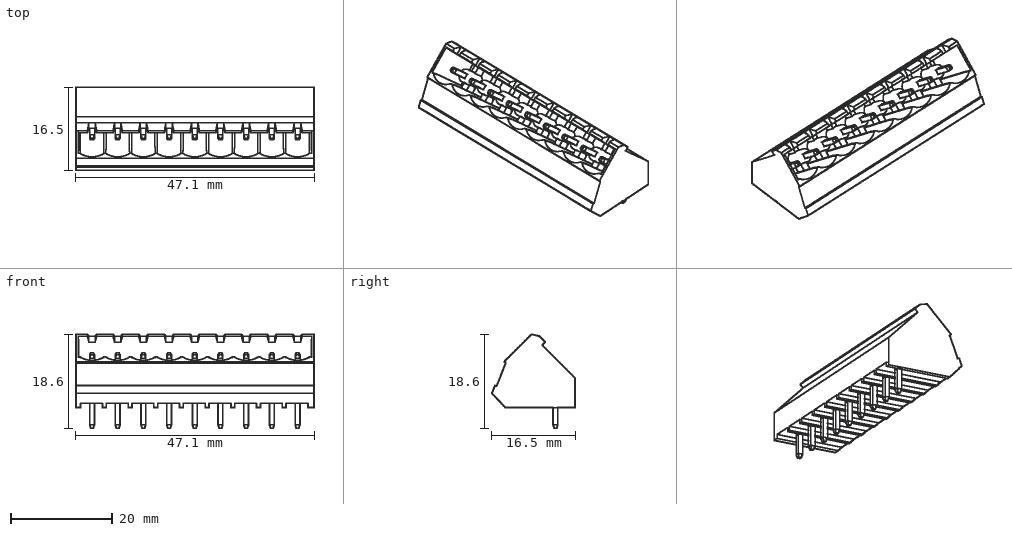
import cadquery as cq
import math

length = 47.1
depth = 16.5
apex_height = 14.5
apex_setback = 8.6

pin_count = 9
first_pin_inset = 3.2
last_pin_inset = 3.3
pitch = (length - first_pin_inset - last_pin_inset) / (pin_count - 1)
pin_places = [first_pin_inset + i * pitch for i in range(pin_count)]

apex_rise = 3.9
face_bottom_rise = -3.75

lip_rise = 4.75
lip_bevel_sink = 1.35
lip_ledge_sink = 3.0
rear_wall_rise = 3.85

face_undercut = (13.75, 8.8)
band_root = (15.55, 4.3)
band_top = (15.9, 4.4)
nose = (depth, 2.85)
base_depth = 13.8

foot_width = 0.8
foot_height = 0.85
groove_offset = -0.1

cavity_sink = 11.35
cavity_top_rise = 3.05
cavity_bottom_rise = -2.3
end_wall = 0.6
scallop_radius = 3.25
lead_in_sink = 1.85
lead_in = 0.15
top_lead_in = 0.25

notch_mouth = 1.85
notch_floor = 1.23
notch_sink = 1.4

collar_diameter = 2.75
collar_height = 4.85
collar_round = 0.45
fin_height = 2.45
upper_fin_width = 1.0
lower_fin_width = 1.35

pin_width = 1.0
pin_tip_width = 0.5
pin_tip_length = 0.7
pin_tip_sink = 1.6
leg_setback = 3.9
leg_drop = 4.1

slope = math.sqrt(0.5)
axis_y = -apex_setback - apex_rise * slope
axis_z = apex_height - apex_rise * slope


def face_point(rise, sink):
    """(Y, Z) of a point given along and into the sloping face."""
    return (axis_y + (rise + sink) * slope, axis_z + (rise - sink) * slope)


def face_plane(sink, x=0.0):
    """Plane parallel to the face; local y is rise, the normal points out of the socket."""
    y, z = face_point(0, sink)
    return cq.Plane(origin=(x, y, z), xDir=(1, 0, 0), normal=(0, -1, 1))


def front_point(point):
    """(Y, Z) from a distance in front of the back wall and a height."""
    return (-point[0], point[1])


def box_on_face(x0, x1, rise0, rise1, sink, height):
    plane = face_plane(sink)
    centre = ((x0 + x1) / 2, (rise0 + rise1) / 2)
    return cq.Workplane(plane).center(*centre).rect(x1 - x0, rise1 - rise0).extrude(height)


def make_shell():
    rear_edge_sink = -axis_y / slope - rear_wall_rise
    outline = [
        (0, 0),
        face_point(rear_wall_rise, rear_edge_sink),
        face_point(rear_wall_rise, lip_ledge_sink),
        face_point(lip_rise, lip_ledge_sink),
        face_point(lip_rise, lip_bevel_sink),
        face_point(apex_rise, 0),
        face_point(face_bottom_rise, 0),
        front_point(face_undercut),
        front_point(band_root),
        front_point(band_top),
        front_point(nose),
        (-base_depth, 0),
    ]
    return cq.Workplane("YZ").polyline(outline).close().extrude(length)


def make_foot_grooves():
    centres = [(x + groove_offset, -depth / 2) for x in pin_places]
    return cq.Workplane("XY").pushPoints(centres).rect(pitch - foot_width, depth).extrude(foot_height)


def make_scallop(x):
    """The part of a round bay below the flat cavity bottom, with a conical lead-in at its mouth."""
    bay = cq.Workplane(face_plane(cavity_sink, x)).circle(scallop_radius).extrude(cavity_sink)
    mouth = (
        cq.Workplane(face_plane(lead_in_sink, x))
        .circle(scallop_radius)
        .workplane(offset=lead_in_sink)
        .circle(scallop_radius + lead_in)
        .loft()
    )
    reach = 2 * scallop_radius
    below_bottom = box_on_face(x - reach, x + reach, -reach, cavity_bottom_rise, cavity_sink, cavity_sink)
    return bay.union(mouth).intersect(below_bottom)


def make_cavity():
    left, right = end_wall, length - end_wall
    cavity = box_on_face(left, right, cavity_bottom_rise, cavity_top_rise, cavity_sink, cavity_sink)
    height = cavity_top_rise - cavity_bottom_rise
    mouth_height = height + lead_in + top_lead_in
    mouth_shift = (top_lead_in - lead_in) / 2
    mouth = (
        cq.Workplane(face_plane(lead_in_sink))
        .center(length / 2, cavity_bottom_rise + height / 2)
        .rect(right - left, height)
        .workplane(offset=lead_in_sink)
        .center(0, mouth_shift)
        .rect(right - left + 2 * lead_in, mouth_height)
        .loft()
    )
    cavity = cavity.union(mouth)
    for x in pin_places:
        cavity = cavity.union(make_scallop(x))
    return cavity


def make_notch(x):
    """Dovetail-sided notch across the top wall, cut square into the face."""
    y, z = face_point(0, 0)
    across = cq.Plane(origin=(x, y, z), xDir=(1, 0, 0), normal=(0, 1, 1))
    outline = [
        (-notch_mouth / 2, 0),
        (notch_mouth / 2, 0),
        (notch_floor / 2, notch_sink),
        (-notch_floor / 2, notch_sink),
    ]
    return cq.Workplane(across).polyline(outline).close().extrude(lip_rise)


def make_collar(x):
    """Round-ended collar standing on the cavity floor, with a fin above and one below it."""
    collar = (
        cq.Workplane(face_plane(cavity_sink, x))
        .circle(collar_diameter / 2)
        .extrude(collar_height)
        .faces(cq.selectors.DirectionMinMaxSelector(cq.Vector(0, -1, 1)))
        .edges()
        .fillet(collar_round)
    )
    upper = upper_fin_width / 2
    lower = lower_fin_width / 2
    upper_fin = box_on_face(x - upper, x + upper, 0, cavity_top_rise, cavity_sink, fin_height)
    lower_fin = box_on_face(x - lower, x + lower, -scallop_radius, 0, cavity_sink, fin_height)
    return collar.union(upper_fin).union(lower_fin)


def make_housing(pins):
    housing = make_shell().cut(make_foot_grooves()).cut(make_cavity())
    for x in pin_places:
        housing = housing.cut(make_notch(x)).union(make_collar(x))
    for pin in pins:
        housing = housing.cut(pin)
    return housing


def make_pin_tip(plane):
    return (
        cq.Workplane(plane)
        .rect(pin_width, pin_width)
        .workplane(offset=pin_tip_length)
        .rect(pin_tip_width, pin_tip_width)
        .loft()
    )


def make_pin(x):
    """Square pin: a vertical leg bent 45 degrees forward into the socket, tapered at both ends."""
    half = pin_width / 2
    leg_end_z = pin_tip_length - leg_drop
    contact_sink = pin_tip_sink + pin_tip_length
    back_y = half - leg_setback
    front_y = -half - leg_setback
    outline = [
        (back_y, leg_end_z),
        face_point(half, (back_y - axis_y) / slope - half),
        face_point(half, contact_sink),
        face_point(-half, contact_sink),
        face_point(-half, (front_y - axis_y) / slope + half),
        (front_y, leg_end_z),
    ]
    bar = cq.Workplane("YZ", origin=(x - half, 0, 0)).polyline(outline).close().extrude(pin_width)
    leg_end = cq.Plane(origin=(x, -leg_setback, leg_end_z), xDir=(1, 0, 0), normal=(0, 0, -1))
    return bar.union(make_pin_tip(face_plane(contact_sink, x))).union(make_pin_tip(leg_end))


pins = [make_pin(x) for x in pin_places]
housing = make_housing(pins)

result = cq.Compound.makeCompound([housing.solids().val(), *[pin.solids().val() for pin in pins]])